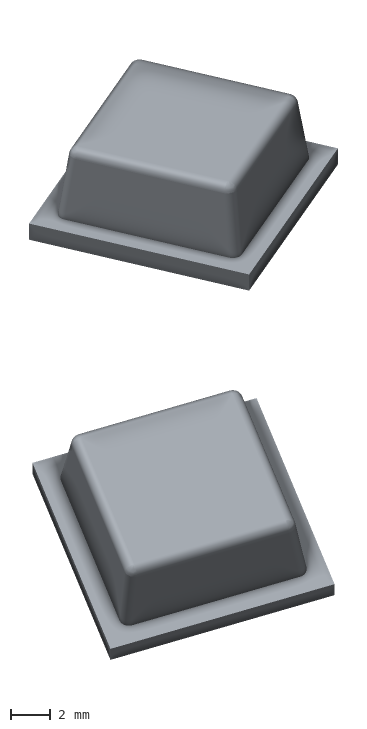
import cadquery as cq

plate_side = 12.0
plate_thickness = 1.0

total_height = 5.0
cap_side = 10.0
cap_height = total_height - plate_thickness
draft_angle = 7.0
edge_radius = 0.5


def make_plate():
    return cq.Workplane("XY").rect(plate_side, plate_side).extrude(plate_thickness)


def make_cap():
    """Square frustum with its four slanted edges and its top rim rounded."""
    frustum = (
        cq.Workplane("XY", origin=(0, 0, plate_thickness))
        .rect(cap_side, cap_side)
        .extrude(cap_height, taper=draft_angle)
    )
    rounded_sides = frustum.edges("not(#Z)").fillet(edge_radius)
    return rounded_sides.faces(">Z").edges().fillet(edge_radius)


result = make_plate().union(make_cap())